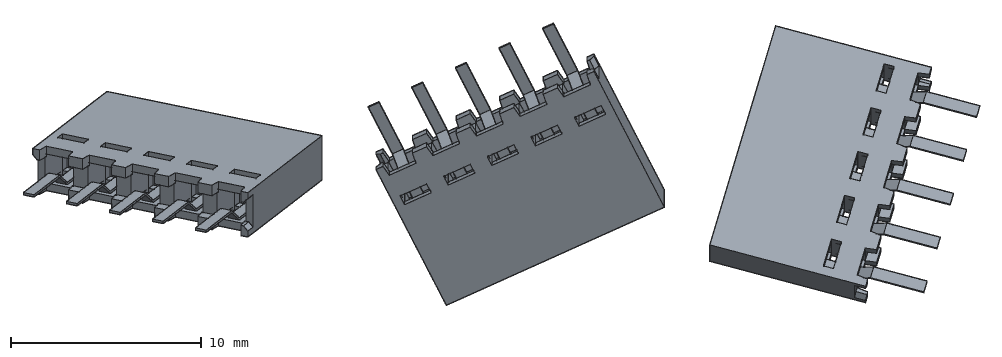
import cadquery as cq

contact_count = 5
pitch = 2.54
height = 2.54
depth = 8.5
width = contact_count * pitch

wall = 0.45
mouth_width = 1.69
cavity_back_width = 1.49
ceiling_drop = 0.05
cavity_back = 2.92

recess = 0.6
notch_mouth_width = 1.71
notch_back_width = 1.55
tooth_height = 0.6
end_chamfer = 0.25

window_width = 1.55
window_length = 0.55
window_back = 2.44

pin_width = 0.64
pin_thickness = 0.14
pin_length = 2.91
pin_top = 1.33
crank_run = 0.89

contact_centres = [(i - (contact_count - 1) / 2) * pitch for i in range(contact_count)]


def trapezoid_prism(centre, front, front_width, back, back_width):
    """Full-height prism whose plan narrows from front to back."""
    return (
        cq.Workplane("XY", origin=(centre, 0, 0))
        .polyline([
            (-front_width / 2, front),
            (front_width / 2, front),
            (back_width / 2, back),
            (-back_width / 2, back),
        ])
        .close()
        .extrude(height)
    )


def contact_cavity(centre):
    """Cavity with tapered sides and a ceiling that slopes down towards the back."""
    ceiling = height - wall
    side_profile = (
        cq.Workplane("YZ", origin=(centre - pitch / 2, 0, 0))
        .polyline([
            (recess, wall),
            (recess, ceiling),
            (cavity_back, ceiling - ceiling_drop),
            (cavity_back, wall),
        ])
        .close()
        .extrude(pitch)
    )
    plan = trapezoid_prism(centre, recess, mouth_width, cavity_back, cavity_back_width)
    return plan.intersect(side_profile)


def front_recess():
    """Slot across the front edge, flared at both ends by the tooth chamfers."""
    low = tooth_height
    high = height - tooth_height
    end = width / 2
    return (
        cq.Workplane("XZ")
        .polyline([
            (-end, low - end_chamfer),
            (-end + end_chamfer, low),
            (end - end_chamfer, low),
            (end, low - end_chamfer),
            (end, high + end_chamfer),
            (end - end_chamfer, high),
            (-end + end_chamfer, high),
            (-end, high + end_chamfer),
        ])
        .close()
        .extrude(-recess)
    )


def contact_opening(centre):
    """Notch, cavity and windows for one contact."""
    notch = trapezoid_prism(centre, 0, notch_mouth_width, recess, notch_back_width)
    window = (
        cq.Workplane("XY", origin=(centre, window_back - window_length, 0))
        .box(window_width, window_length, height, centered=(True, False, False))
    )
    return notch.union(contact_cavity(centre)).union(window)


def pin(centre):
    """Flat strip lying on the cavity floor, rising along the crank and leaving level."""
    floor_top = wall + pin_thickness
    return (
        cq.Workplane("YZ", origin=(centre - pin_width / 2, 0, 0))
        .polyline([
            (-pin_length, pin_top),
            (0, pin_top),
            (crank_run, floor_top),
            (cavity_back, floor_top),
            (cavity_back, wall),
            (crank_run, wall),
            (0, pin_top - pin_thickness),
            (-pin_length, pin_top - pin_thickness),
        ])
        .close()
        .extrude(pin_width)
    )


result = cq.Workplane("XY").box(width, depth, height, centered=(True, False, False))
result = result.cut(front_recess())
for x in contact_centres:
    result = result.cut(contact_opening(x))
for x in contact_centres:
    result = result.union(pin(x))